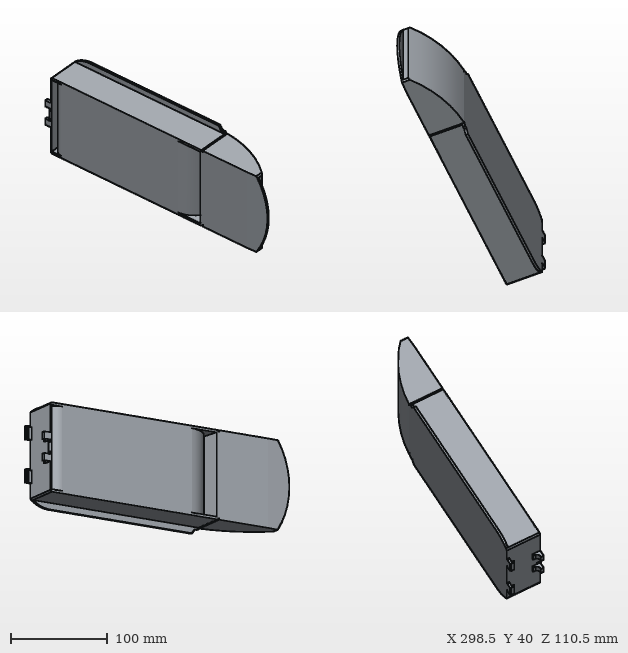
import cadquery as cq
import math

length = 298.5
depth = 40.0
flange_width = 110.5
body_width = 96.5

body_start = 7.5
body_end = 212.5
edge_chamfer = 1.8

flange_thickness = 2.7
flange_corner_end = 29.5
flange_straight_end = 202.8
flange_step_start = 206.3
flange_step_end = 210.0
flange_step_width = 100.3

nose_crown = (257.7, 27.2)
nose_end = 285.8
nose_end_height = 8.5
tip_corner = 284.3
lip_start = 271.7
lip_thickness = 2.7
lip_rise = 1.2

recess_width = 90.8
intake_start = 179.5
intake_run = 26.3
intake_depth = 20.3
intake_bow = 4.8
intake_floor = 1.0
intake_end = 209.3
outlet_start = 9.3
outlet_end = 21.8
outlet_run = 10.7
outlet_depth = 10.2
outlet_bow = 2.7

hook_center = 23.3
hook_width = 13.7
hook_drop = 5.5
hook_tip = 2.0
hook_chamfer = 1.0
catch_center = 11.5
catch_width = 7.8
catch_height = 10.0
catch_foot_height = 3.5
catch_stem_start = 5.5
catch_stem_height = 6.5
catch_bow = 1.2
wedge_start = 5.5
wedge_width = 10.5
wedge_height = 4.5
wedge_foot_height = 1.2
wedge_bow = 0.5


def extrude_width(profile, width, center=0.0):
    """Extrude a closed XY profile along Z, centred on the given Z."""
    return profile.extrude(width / 2, both=True).translate((0, 0, center))


def bowed_point(start, end, bow):
    """Point beside the middle of a chord, offset to the right of its direction."""
    run = end[0] - start[0]
    rise = end[1] - start[1]
    chord = math.hypot(run, rise)
    mid_x = (start[0] + end[0]) / 2 + bow * rise / chord
    mid_y = (start[1] + end[1]) / 2 - bow * run / chord
    return (mid_x, mid_y)


def make_body():
    """Box with chamfered edges along Y at both ends."""
    box = cq.Workplane("XY").box(body_end - body_start, depth, body_width, centered=(False, False, True))
    return box.translate((body_start, 0, 0)).edges("|Y").chamfer(edge_chamfer)


def make_flange():
    """Thin plate, rounded corners at the start and stepped corners at the end."""
    half = flange_width / 2
    step = flange_step_width / 2
    end_half = body_width / 2 - edge_chamfer
    rise = half - end_half
    run = flange_corner_end - body_start
    radius = (run**2 + rise**2) / (2 * rise)
    half_angle = math.asin(run / radius) / 2
    corner_middle = (
        flange_corner_end - radius * math.sin(half_angle),
        half - radius * (1 - math.cos(half_angle)),
    )
    upper = (
        cq.Workplane("XZ", origin=(0, depth, 0))
        .moveTo(body_start, 0)
        .lineTo(body_start, end_half)
        .threePointArc(corner_middle, (flange_corner_end, half))
        .lineTo(flange_straight_end, half)
        .lineTo(flange_step_start, step)
        .lineTo(flange_step_end, step)
        .lineTo(body_end, end_half)
        .lineTo(body_end, 0)
        .close()
        .extrude(flange_thickness)
    )
    return upper.union(upper.mirror("XY"))


def make_nose():
    """Domed nose with a thin rising lip, both trimmed to a rounded tip."""
    half = body_width / 2
    profile = (
        cq.Workplane("XY")
        .moveTo(body_end, 0)
        .lineTo(lip_start, 0)
        .lineTo(length, lip_rise)
        .lineTo(length, lip_rise + lip_thickness)
        .lineTo(nose_end, lip_thickness)
        .lineTo(nose_end, nose_end_height)
        .threePointArc(nose_crown, (body_end, depth))
        .close()
    )
    outline = (
        cq.Workplane("XZ", origin=(0, depth, 0))
        .moveTo(body_end, -half)
        .lineTo(tip_corner, -half)
        .threePointArc((length, 0), (tip_corner, half))
        .lineTo(body_end, half)
        .close()
        .extrude(depth)
    )
    return extrude_width(profile, body_width).intersect(outline)


def make_intake():
    """Recess whose floor curves in from the front face and ends at a steep wall."""
    mouth = (intake_start, 0)
    throat = (intake_start + intake_run, intake_depth)
    profile = (
        cq.Workplane("XY")
        .moveTo(*mouth)
        .threePointArc(bowed_point(mouth, throat, intake_bow), throat)
        .lineTo(throat[0] + intake_floor, intake_depth)
        .lineTo(intake_end, 0)
        .close()
    )
    return extrude_width(profile, recess_width)


def make_outlet():
    """Smaller recess at the other end, curving back out to the front face."""
    throat = (outlet_end - outlet_run, outlet_depth)
    mouth = (outlet_end, 0)
    profile = (
        cq.Workplane("XY")
        .moveTo(outlet_start, 0)
        .lineTo(outlet_start, outlet_depth)
        .lineTo(*throat)
        .threePointArc(bowed_point(throat, mouth, outlet_bow), mouth)
        .close()
    )
    return extrude_width(profile, recess_width)


def make_hook(center):
    """L-shaped hook at the mounting plane."""
    arm_front = depth - flange_thickness
    profile = cq.Workplane("XY").polyline([
        (body_start, depth),
        (hook_chamfer, depth),
        (0, depth - hook_chamfer),
        (0, depth - hook_drop + hook_chamfer),
        (hook_chamfer, depth - hook_drop),
        (hook_tip, depth - hook_drop),
        (hook_tip, arm_front),
        (body_start, arm_front),
    ]).close()
    return extrude_width(profile, hook_width, center)


def make_catch(center):
    """Catch with a broad foot that sweeps up into a thin stem."""
    foot = (0, catch_foot_height)
    stem = (catch_stem_start, catch_stem_height)
    profile = (
        cq.Workplane("XY")
        .moveTo(body_start, 0)
        .lineTo(0, 0)
        .lineTo(*foot)
        .threePointArc(bowed_point(foot, stem, catch_bow), stem)
        .lineTo(catch_stem_start, catch_height)
        .lineTo(body_start, catch_height)
        .close()
    )
    return extrude_width(profile, catch_width, center)


def make_wedge():
    """Small hollow-faced wedge between the two catches."""
    toe = (wedge_start, wedge_foot_height)
    top = (body_start, wedge_height)
    profile = (
        cq.Workplane("XY")
        .moveTo(body_start, 0)
        .lineTo(wedge_start, 0)
        .lineTo(*toe)
        .threePointArc(bowed_point(toe, top, wedge_bow), top)
        .close()
    )
    return extrude_width(profile, wedge_width)


result = make_body().union(make_flange()).union(make_nose())
result = result.cut(make_intake()).cut(make_outlet())
for side in (-1, 1):
    result = result.union(make_hook(side * hook_center))
    result = result.union(make_catch(side * catch_center))
result = result.union(make_wedge())